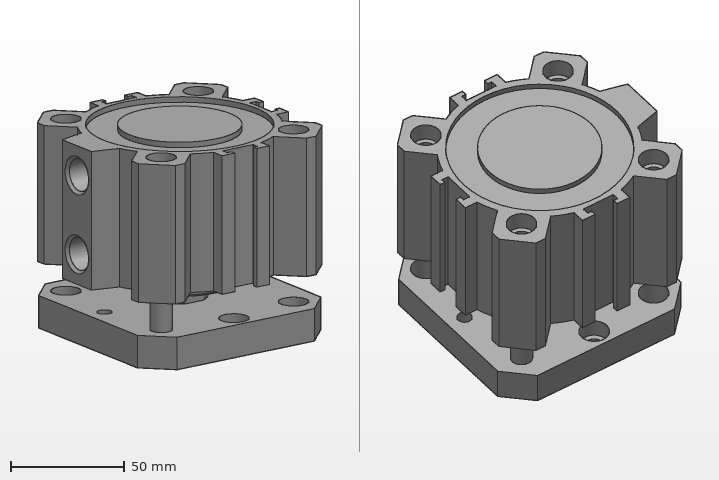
import cadquery as cq
import math

WIDTH = 100.0
HALF_WIDTH = WIDTH / 2
LENGTH = 106
PLATE_THICKNESS = 15.0
HOUSING_BOTTOM = 30.5
HOUSING_HEIGHT = 64.0
HOUSING_TOP = HOUSING_BOTTOM + HOUSING_HEIGHT

BARREL_RADIUS = 45.5
LUG_WIDTH = 23.8
LUG_CHAMFER = 11.7
RIB_HALF_WIDTH = 12.9
SLOT_MOUTH_WIDTH = 12.0
SLOT_WIDTH = 16.2
SLOT_LIP = 2.5
SLOT_DEPTH = 5.8
PORT_FACE_Y = HALF_WIDTH - LENGTH
PORT_FACE_HALF_WIDTH = 11.0
PORT_BLOCK_TAPER = 15

BOSS_DIAMETER = 55.0
COVER_RECESS_DIAMETER = 83.2
COVER_RECESS_DEPTH = 2.5
COVER_TOP = HOUSING_TOP - COVER_RECESS_DEPTH
LOWER_BOSS_HEIGHT = 7.5
LOWER_BOSS_BOTTOM = HOUSING_BOTTOM - LOWER_BOSS_HEIGHT
LOWER_BOSS_CHAMFER = 1.0
PORT_DIAMETER = 14.9
PORT_CHAMFER = 1.4
PORT_DEPTH = 12.0
PORT_INSET = 13.8
MOUNT_HOLE_DIAMETER = 9.0
COUNTERBORE_DIAMETER = 13.5
COUNTERBORE_DEPTH = 8.5

CORNER_OFFSET = 36
OPEN_CORNERS = [(CORNER_OFFSET, CORNER_OFFSET), (-CORNER_OFFSET, -CORNER_OFFSET)]
GUIDED_CORNERS = [(CORNER_OFFSET, -CORNER_OFFSET), (-CORNER_OFFSET, CORNER_OFFSET)]

PLATE_CHAMFER = 12.6
PLATE_HOLE_OFFSET = 41.0
PLATE_BOLT_DIAMETER = 8.5
PLATE_PIN_DIAMETER = 6.7
GUIDE_ROD_DIAMETER = 10.0
ROD_DIAMETER = 25.0
ROD_FLATS_WIDTH = 22.0
ROD_FLATS_HEIGHT = 5.5
ROD_END_CHAMFER = 0.5


def cylinder(diameter, bottom, height):
    """Vertical cylinder on the main axis."""
    return cq.Workplane("XY").workplane(offset=bottom).circle(diameter / 2).extrude(height)


def chamfered_square(chamfer, bottom, height):
    """Square block of the full width with its four vertical corners cut at 45 degrees."""
    block = cq.Workplane("XY").workplane(offset=bottom).rect(WIDTH, WIDTH).extrude(height)
    return block.edges("|Z").chamfer(chamfer)


def corner_lugs():
    """Two diagonal bars, trimmed to the chamfered square, that leave a lug at each corner."""
    base = cq.Workplane("XY").workplane(offset=HOUSING_BOTTOM)
    bar = base.rect(2 * WIDTH, LUG_WIDTH).extrude(HOUSING_HEIGHT)
    bars = bar.rotate((0, 0, 0), (0, 0, 1), 45).union(bar.rotate((0, 0, 0), (0, 0, 1), -45))
    return bars.intersect(chamfered_square(LUG_CHAMFER, HOUSING_BOTTOM, HOUSING_HEIGHT))


def radial_bar(inner_x, outer_x, width, angle):
    """Bar of the housing's height along +X between two distances, turned about Z by the angle."""
    base = cq.Workplane("XY").workplane(offset=HOUSING_BOTTOM)
    bar = base.moveTo((inner_x + outer_x) / 2, 0).rect(outer_x - inner_x, width).extrude(HOUSING_HEIGHT)
    return bar.rotate((0, 0, 0), (0, 0, 1), angle)


def slot_rib(angle):
    """Solid rib from the main axis to the outer face."""
    return radial_bar(0, HALF_WIDTH, 2 * RIB_HALF_WIDTH, angle)


def t_slot(angle):
    """Full-height T-slot that opens in the outer face of a rib."""
    floor = HALF_WIDTH - SLOT_DEPTH
    mouth = radial_bar(floor, HALF_WIDTH, SLOT_MOUTH_WIDTH, angle)
    return mouth.union(radial_bar(floor, HALF_WIDTH - SLOT_LIP, SLOT_WIDTH, angle))


def port_block():
    """Block on the -Y side that narrows towards the port face."""
    root_half_width = PORT_FACE_HALF_WIDTH - PORT_FACE_Y * math.tan(math.radians(PORT_BLOCK_TAPER))
    outline = [
        (-root_half_width, 0),
        (-PORT_FACE_HALF_WIDTH, PORT_FACE_Y),
        (PORT_FACE_HALF_WIDTH, PORT_FACE_Y),
        (root_half_width, 0),
    ]
    base = cq.Workplane("XY").workplane(offset=HOUSING_BOTTOM)
    return base.polyline(outline).close().extrude(HOUSING_HEIGHT)


def port_cutter(height):
    """Blind port bore along +Y with a countersunk mouth, at the given height."""
    bore_radius = PORT_DIAMETER / 2
    bore = cq.Workplane("XZ", origin=(0, PORT_FACE_Y, height)).circle(bore_radius).extrude(-PORT_DEPTH)
    mouth = cq.Solid.makeCone(
        bore_radius + PORT_CHAMFER, bore_radius, PORT_CHAMFER,
        pnt=cq.Vector(0, PORT_FACE_Y, height), dir=cq.Vector(0, 1, 0),
    )
    return bore.union(cq.Workplane(mouth))


def make_housing():
    """Barrel with corner lugs, slotted ribs on three sides and a port block on the fourth."""
    housing = cylinder(2 * BARREL_RADIUS, HOUSING_BOTTOM, HOUSING_HEIGHT)
    housing = housing.union(port_block()).union(corner_lugs())
    for angle in (0, 90, 180):
        housing = housing.union(slot_rib(angle)).cut(t_slot(angle))

    housing = housing.cut(cylinder(COVER_RECESS_DIAMETER, COVER_TOP, COVER_RECESS_DEPTH))
    housing = housing.union(cylinder(BOSS_DIAMETER, COVER_TOP, COVER_RECESS_DEPTH))

    lower_boss = cylinder(BOSS_DIAMETER, LOWER_BOSS_BOTTOM, LOWER_BOSS_HEIGHT)
    housing = housing.union(lower_boss.faces("<Z").chamfer(LOWER_BOSS_CHAMFER))

    housing = (
        housing.faces(">Z").workplane(origin=(0, 0, HOUSING_TOP))
        .pushPoints(OPEN_CORNERS + GUIDED_CORNERS)
        .cboreHole(MOUNT_HOLE_DIAMETER, COUNTERBORE_DIAMETER, COUNTERBORE_DEPTH)
    )

    for height in (HOUSING_BOTTOM + PORT_INSET, HOUSING_TOP - PORT_INSET):
        housing = housing.cut(port_cutter(height))
    return housing


def make_piston_rod():
    """Rod with its chamfered end on the plate and two wrench flats facing -X and +X."""
    rod = cylinder(ROD_DIAMETER, PLATE_THICKNESS, LOWER_BOSS_BOTTOM - PLATE_THICKNESS)
    rod = rod.faces("<Z").chamfer(ROD_END_CHAMFER)
    flats = (
        cq.Workplane("XY").workplane(offset=PLATE_THICKNESS)
        .rect(2 * ROD_DIAMETER, ROD_DIAMETER).rect(ROD_FLATS_WIDTH, ROD_DIAMETER)
        .extrude(ROD_FLATS_HEIGHT)
    )
    return rod.cut(flats)


def plate_holes(points, diameter, depth):
    """Cutters for vertical holes down from the top of the tool plate."""
    top = cq.Workplane("XY", origin=(0, 0, PLATE_THICKNESS))
    return top.pushPoints(points).circle(diameter / 2).extrude(-depth)


def make_moving_part():
    """Tool plate with the piston rod and the two guide rods standing on it."""
    plate = chamfered_square(PLATE_CHAMFER, 0, PLATE_THICKNESS)

    plate = plate.cut(plate_holes(OPEN_CORNERS, COUNTERBORE_DIAMETER, PLATE_THICKNESS))

    bolt_points = [(-PLATE_HOLE_OFFSET, 0), (PLATE_HOLE_OFFSET, 0)]
    pin_points = [(0, -PLATE_HOLE_OFFSET), (0, PLATE_HOLE_OFFSET)]
    plate = plate.cut(plate_holes(bolt_points, PLATE_BOLT_DIAMETER, PLATE_THICKNESS))
    plate = plate.cut(plate_holes(bolt_points, COUNTERBORE_DIAMETER, COUNTERBORE_DEPTH))
    plate = plate.cut(plate_holes(pin_points, PLATE_PIN_DIAMETER, PLATE_THICKNESS))

    guide_rods = (
        cq.Workplane("XY", origin=(0, 0, PLATE_THICKNESS))
        .pushPoints(GUIDED_CORNERS)
        .circle(GUIDE_ROD_DIAMETER / 2)
        .extrude(HOUSING_BOTTOM - PLATE_THICKNESS)
    )
    return plate.union(guide_rods).union(make_piston_rod())


housing = make_housing()
moving_part = make_moving_part()
result = cq.Compound.makeCompound([housing.solids().val(), moving_part.solids().val()])